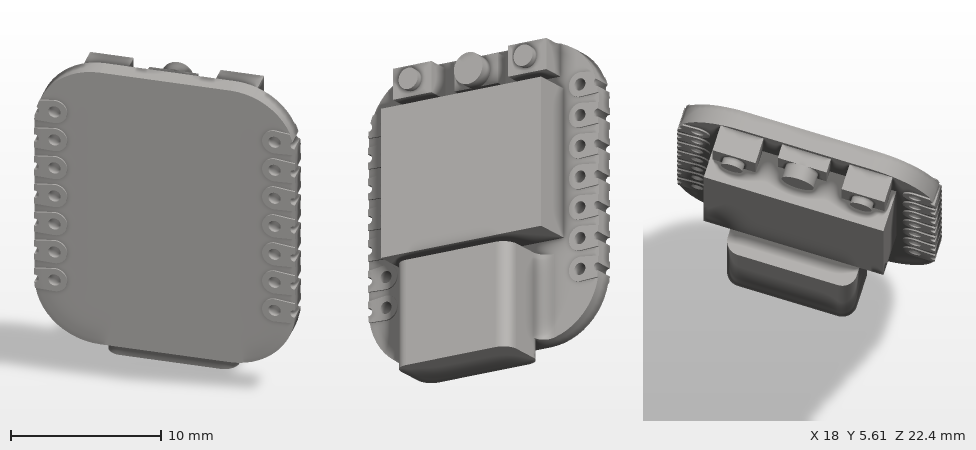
import cadquery as cq

board_width = 18.0
board_height = 21.0
board_thickness = 1.3
corner_radius = 4.5
overall_height = 22.4
board_top = overall_height
board_bottom = board_top - board_height
board_middle = (board_top + board_bottom) / 2
half_width = board_width / 2

pads_per_side = 7
hole_row_span = 13
pad_pitch = hole_row_span / (pads_per_side - 1)
top_hole_z = 18.95
hole_inset = 1.4
hole_diameter = 0.85
pad_diameter = 1.72
pad_thickness = 0.11
pad_edge_top = 0.7
pad_edge_bottom = -0.8
notch_diameter = 0.55
notch_inset = 0.05
notch_drop = 0.07

connector_width = 9.0
connector_length = 7.41
connector_height = 4.2
connector_corner_radius = 1.0

module_width = 12.55
module_length = 10.5
module_height = 2.9
module_bottom = 8.42

row_z = 20.92
button_spacing = 9.0
button_width = 3.0
button_length = 2.2
button_height = 1.8
button_cap_diameter = 1.5
button_cap_height = 0.52
socket_width = 3.4
socket_length = 2.13
socket_height = 0.99
socket_ring_diameter = 2.25
socket_ring_top = 2.0


def block(x, z, width, length, height):
    """Box standing on the component face, centred on (x, z)."""
    return cq.Workplane("XY").box(width, height, length, centered=(True, False, True)).translate(
        (x, board_thickness, z)
    )


def rod(x, z, diameter, start, end):
    """Cylinder along Y between two y positions."""
    return cq.Workplane("XZ", origin=(x, start, z)).circle(diameter / 2).extrude(start - end)


def board_outline(start, end):
    """Rounded board shape between two y positions."""
    return (
        cq.Workplane("XZ", origin=(0, start, board_middle))
        .rect(board_width, board_height)
        .extrude(start - end)
        .edges("|Y")
        .fillet(corner_radius)
    )


def pad(side, z):
    """Tongue through both faces; it narrows slightly towards the board edge."""
    radius = pad_diameter / 2
    hole_x = half_width - hole_inset
    return (
        cq.Workplane("XZ", origin=(0, -pad_thickness, z))
        .moveTo(side * half_width, pad_edge_bottom)
        .lineTo(side * hole_x, -radius)
        .threePointArc((side * (hole_x - radius), 0), (side * hole_x, radius))
        .lineTo(side * half_width, pad_edge_top)
        .close()
        .extrude(-board_thickness - 2 * pad_thickness)
    )


pad_front = -pad_thickness
pad_back = board_thickness + pad_thickness
pad_places = [(side, top_hole_z - i * pad_pitch) for side in (-1, 1) for i in range(pads_per_side)]

pads = cq.Workplane("XY")
for side, z in pad_places:
    pads = pads.add(pad(side, z))
pads = pads.combine().intersect(board_outline(pad_front, pad_back))
result = board_outline(0, board_thickness).union(pads)

for side, z in pad_places:
    hole = rod(side * (half_width - hole_inset), z, hole_diameter, pad_front, pad_back)
    notch_x = side * (half_width - notch_inset)
    notch = rod(notch_x, z - notch_drop, notch_diameter, pad_front, pad_back)
    result = result.cut(hole).cut(notch)

connector = block(0, connector_length / 2, connector_width, connector_length, connector_height)
result = result.union(connector.edges("|Z").fillet(connector_corner_radius))

fillet_end = board_thickness + connector_corner_radius
fillet_width = connector_width + 2 * connector_corner_radius
fillet_length = connector_length - board_bottom
fillet_z = board_bottom + fillet_length / 2
fillets = block(0, fillet_z, fillet_width, fillet_length, connector_corner_radius)
for side in (-1, 1):
    groove = cq.Workplane("XY", origin=(side * fillet_width / 2, fillet_end, 0))
    fillets = fillets.cut(groove.circle(connector_corner_radius).extrude(connector_length))
result = result.union(fillets.intersect(board_outline(board_thickness, fillet_end)))

module_z = module_bottom + module_length / 2
result = result.union(block(0, module_z, module_width, module_length, module_height))

button_top = board_thickness + button_height
for x in (-button_spacing / 2, button_spacing / 2):
    result = result.union(block(x, row_z, button_width, button_length, button_height))
    result = result.union(rod(x, row_z, button_cap_diameter, button_top, button_top + button_cap_height))

result = result.union(block(0, row_z, socket_width, socket_length, socket_height))
socket_ring_end = board_thickness + socket_ring_top
result = result.union(rod(0, row_z, socket_ring_diameter, board_thickness + socket_height, socket_ring_end))